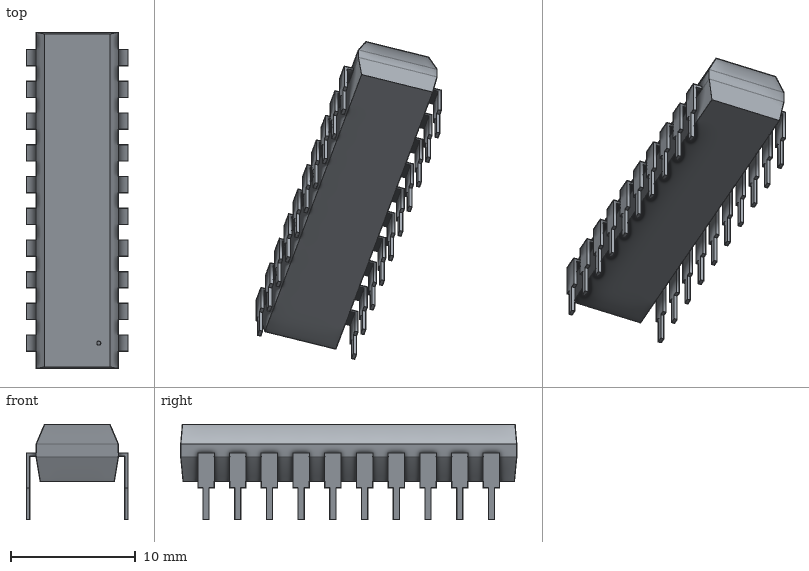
import cadquery as cq

body_length = 26.92
lead_span = 8.13
total_height = 7.62

body_width = 6.6
top_width = 5.25
bottom_width = 5.95
top_end_inset = 0.13
bottom_end_inset = 0.2
band_top = 6.03
band_bottom = 5.0
body_bottom = 3.05

leads_per_side = 10
lead_row_length = 22.85
lead_pitch = lead_row_length / (leads_per_side - 1)
lead_thickness = 0.27
lead_top = 5.33
shoulder_width = 1.32
shoulder_bottom = 2.53
pin_width = 0.5
lead_embed = 0.27

mark_diameter = 0.32
mark_depth = 0.08
mark_x = 1.72

first_lead_y = -lead_row_length / 2


def tapered_block(z_start, start_size, z_end, end_size):
    """Loft between two centred rectangles given as (X size, Y size)."""
    return (
        cq.Workplane("XY")
        .workplane(offset=z_start)
        .rect(*start_size)
        .workplane(offset=z_end - z_start)
        .rect(*end_size)
        .loft(ruled=True)
    )


def make_body():
    band_size = (body_width, body_length)
    top_size = (top_width, body_length - 2 * top_end_inset)
    bottom_size = (bottom_width, body_length - 2 * bottom_end_inset)
    band = tapered_block(band_bottom, band_size, band_top, band_size)
    cap = tapered_block(band_top, band_size, total_height, top_size)
    base = tapered_block(body_bottom, bottom_size, band_bottom, band_size)
    return band.union(cap).union(base)


def box_between(x_range, width, z_range):
    """Box centred on Y = 0 that spans the given X and Z ranges."""
    x_size = x_range[1] - x_range[0]
    z_size = z_range[1] - z_range[0]
    return (
        cq.Workplane("XY")
        .box(x_size, width, z_size, centered=(False, True, False))
        .translate((x_range[0], 0, z_range[0]))
    )


def make_lead():
    """One lead on the +X side, centred on Y = 0."""
    outer_x = lead_span / 2
    inner_x = outer_x - lead_thickness
    root_x = body_width / 2 - lead_embed
    arm = box_between((root_x, outer_x), shoulder_width, (lead_top - lead_thickness, lead_top))
    shoulder = box_between((inner_x, outer_x), shoulder_width, (shoulder_bottom, lead_top))
    pin = box_between((inner_x, outer_x), pin_width, (0, lead_top))
    return arm.union(shoulder).union(pin)


def cut_pin_mark(body):
    mark = (
        cq.Workplane("XY")
        .workplane(offset=total_height - mark_depth)
        .center(mark_x, first_lead_y)
        .circle(mark_diameter / 2)
        .extrude(mark_depth)
    )
    return body.cut(mark)


result = cut_pin_mark(make_body())

right_lead = make_lead()
left_lead = right_lead.mirror("YZ")
for index in range(leads_per_side):
    lead_y = first_lead_y + index * lead_pitch
    for lead in (left_lead, right_lead):
        result = result.union(lead.translate((0, lead_y, 0)))